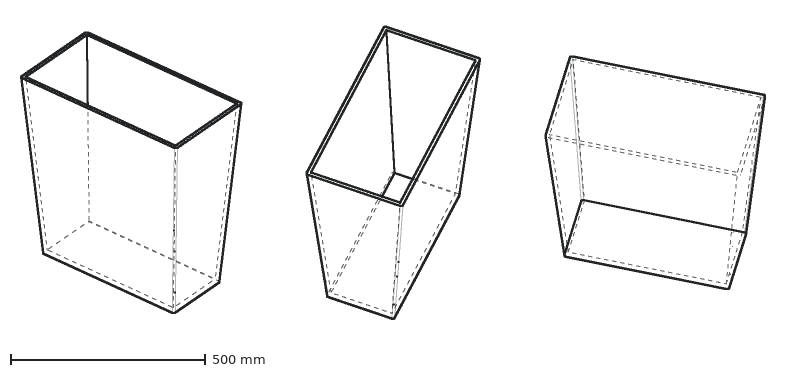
import cadquery as cq

height = 551.0
rim_length = 518.0
rim_width = 269.0

wall_lean = 40.0

wall = 10.0
floor_thickness = 10.0
corner_radius = 5.5


def tapered_block(bottom, top, inset):
    """Loft between two heights, following the outer walls moved inward by inset."""

    def size_at(z):
        reduction = 2 * (wall_lean * (1 - z / height) + inset)
        return rim_length - reduction, rim_width - reduction

    return (
        cq.Workplane("XY", origin=(0, 0, bottom))
        .rect(*size_at(bottom))
        .workplane(offset=top - bottom)
        .rect(*size_at(top))
        .loft(ruled=True)
    )


body = tapered_block(0, height, 0)
body = body.edges("not #Z").fillet(corner_radius)

cavity = tapered_block(floor_thickness, height, wall)

result = body.cut(cavity)